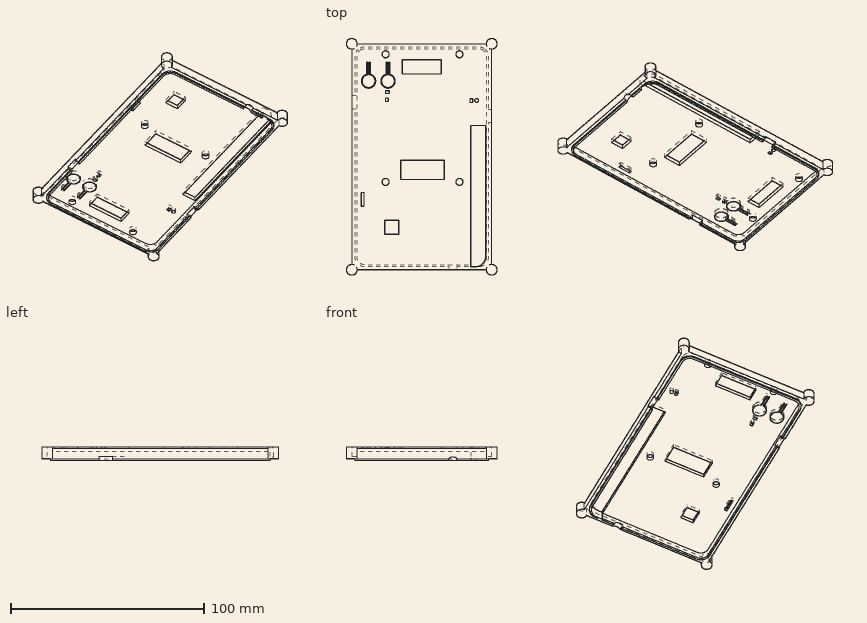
import cadquery as cq

width, length, height = 78.0, 122.5, 7.2

post_diameter = 5.6
frame_width = width - post_diameter
frame_length = length - post_diameter
rounding_width, rounding_height = 1.15, 0.75
rounding_radius = (rounding_width**2 + rounding_height**2) / (2 * rounding_height)

lip_height = 0.9
lip_inset = 1.6
lip_width = frame_width - 2 * lip_inset
lip_length = frame_length - 2 * lip_inset
corner_radius = 5.2

plate_thickness = 2.5
lip_wall = 1.0
cavity_width = lip_width - 2 * lip_wall
cavity_length = lip_length - 2 * lip_wall
cavity_height = height - plate_thickness

screw_diameter = 3.5
screw_spacing_x, screw_spacing_y = 38.2, 66.0
screw_center = (0.4, 20.0)

windows = [
    (0.0, 46.5, 20.0, 7.2),
    (0.4, -6.75, 22.4, 9.8),
    (-15.5, -36.45, 7.2, 7.2),
    (-30.6, -22.0, 1.3, 7.0),
    (-17.8, 33.5, 1.8, 1.3),
    (-18.0, 29.5, 1.3, 1.8),
    (25.65, 29.1, 1.3, 1.8),
]
pin_hole_diameter = 1.9
pin_hole_center = (28.4, 29.1)

slot_left, slot_right = 25.4, 33.0
slot_top, slot_bottom = 16.1, -lip_length / 2

button_centers = [(-27.5, 39.15), (-17.45, 39.15)]
button_diameter = 7.2
button_gap = 0.2
arm_gap = 0.4
arm_gap_spacing = 1.3
arm_end_offset = 9.8

side_notch_width, side_notch_height = 6.8, 2.1
left_notch_center_y, right_notch_center_y = 28.2, 21.0
arch_center_x, arch_center_z, arch_radius = 16.1, -0.45, 2.5


def box_between(x0, x1, y0, y1, z0, z1):
    return cq.Workplane("XY").box(x1 - x0, y1 - y0, z1 - z0, centered=False).translate((x0, y0, z0))


def rounded_bar(plane, span, bar_length):
    """Bar of constant section with both top edges rounded, centred on the plane."""
    half = span / 2
    shoulder = height - rounding_height
    return (
        cq.Workplane(plane)
        .moveTo(-half, lip_height)
        .lineTo(-half, shoulder)
        .radiusArc((-half + rounding_width, height), rounding_radius)
        .lineTo(half - rounding_width, height)
        .radiusArc((half, shoulder), rounding_radius)
        .lineTo(half, lip_height)
        .close()
        .extrude(bar_length / 2, both=True)
    )


def frame():
    """Rectangular body rounded along its top edges, with a post at each corner."""
    body = rounded_bar("XZ", frame_width, frame_length)
    body = body.intersect(rounded_bar("YZ", frame_length, frame_width))
    posts = (
        cq.Workplane("XY", origin=(0, 0, lip_height))
        .rect(frame_width, frame_length, forConstruction=True)
        .vertices()
        .circle(post_diameter / 2)
        .extrude(height - lip_height)
    )
    return body.union(posts)


def lip():
    """Raised rim under the frame, reaching up into it so the two join."""
    block = cq.Workplane("XY").rect(lip_width, lip_length).extrude(2 * lip_height)
    return block.edges("|Z").fillet(corner_radius)


def cavity():
    block = cq.Workplane("XY").rect(cavity_width, cavity_length).extrude(cavity_height)
    return block.edges("|Z").fillet(corner_radius - lip_wall)


def screw_holes():
    return (
        cq.Workplane("XY", origin=(*screw_center, 0))
        .rect(screw_spacing_x, screw_spacing_y, forConstruction=True)
        .vertices()
        .circle(screw_diameter / 2)
        .extrude(height)
    )


def plate_openings():
    cutter = cq.Workplane("XY").center(*pin_hole_center).circle(pin_hole_diameter / 2).extrude(height)
    for x, y, size_x, size_y in windows:
        cutter = cutter.union(cq.Workplane("XY").center(x, y).rect(size_x, size_y).extrude(height))
    return cutter


def long_slot():
    block = box_between(slot_left, slot_right, slot_bottom, slot_top, 0, height)
    return block.edges("|Z and >X and <Y").fillet(corner_radius)


def button_slit(x, y):
    """Slit around a disc that stays joined to the plate by a slender arm."""
    outer_radius = button_diameter / 2
    half_arm = (arm_gap_spacing - arm_gap) / 2
    ring = cq.Workplane("XY").circle(outer_radius).circle(outer_radius - button_gap).extrude(height)
    arm_sides = box_between(-half_arm - arm_gap, half_arm + arm_gap, 0, arm_end_offset, 0, height)
    disc = cq.Workplane("XY").circle(outer_radius - button_gap).extrude(height)
    arm = box_between(-half_arm, half_arm, 0, arm_end_offset, 0, height)
    return ring.union(arm_sides.cut(disc)).cut(arm).translate((x, y, 0))


def side_notch(outward, center_y):
    """Opening through one side wall; outward is -1 for the left wall and 1 for the right."""
    wall_depth = (frame_width - cavity_width) / 2
    center_x = outward * (frame_width - wall_depth) / 2
    notch = cq.Workplane("XY").center(center_x, center_y).rect(wall_depth, side_notch_width)
    return notch.extrude(side_notch_height)


def front_arch():
    wall_depth = (frame_length - cavity_length) / 2
    arch = cq.Workplane("XZ", origin=(arch_center_x, -frame_length / 2, arch_center_z))
    return arch.circle(arch_radius).extrude(-wall_depth)


result = frame().union(lip()).cut(cavity())
result = result.cut(screw_holes()).cut(plate_openings()).cut(long_slot())
for button_x, button_y in button_centers:
    result = result.cut(button_slit(button_x, button_y))
result = result.cut(side_notch(-1, left_notch_center_y)).cut(side_notch(1, right_notch_center_y))
result = result.cut(front_arch())